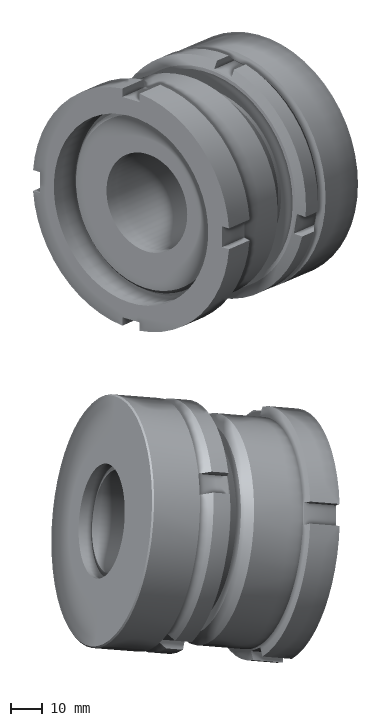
import cadquery as cq
import math

OUTER_RADIUS = 40.0
BORE_RADIUS = 16.4

SLOT_COUNT = 4
SLOT_WIDTH = 7.0
SLOT_DEPTH = 3.0
RIM_CHAMFER_LENGTH = 1.0

FLANGE_LENGTH = 11.1
BARREL_RADIUS = 36.5
SLEEVE_LENGTH = 31.05
BARREL_CHAMFER = 3.1
COUNTERBORE_RADIUS = 31.4
COUNTERBORE_DEPTH = 11.25

THREAD_RADIUS = 29.9
THREAD_START = 7.8
THREAD_START_CHAMFER = 1.1
THREAD_END = 34.6
NECK_RADIUS = 28.4
THREAD_END_CHAMFER = THREAD_RADIUS - NECK_RADIUS
HEAD_START = 36.7
HEAD_LENGTH = 10.3
HEAD_END = HEAD_START + HEAD_LENGTH
HEAD_BACK_LENGTH = 3.5
HEAD_BACK_DROP = 2.9
RECESS_RADIUS = 35.4
RECESS_DEPTH = 2.0
NECK_ROOT_CHAMFER = 0.65
HEAD_SLOT_ANGLE = 10.6

SEAT_RADIUS = 52.3
SEAT_RIM_RADIUS = OUTER_RADIUS - HEAD_BACK_DROP
SEAT_CENTER_Y = HEAD_END - math.sqrt(SEAT_RADIUS**2 - SEAT_RIM_RADIUS**2)

DISC_RADIUS = 39.9
DISC_START = 46.8
DISC_LENGTH = 16.7
DISC_FRONT_TAPER = 0.6
DISC_BACK_CHAMFER = 0.5
DISC_BORE_RADIUS = 18.1
DISC_TILT = 0.7


def revolve_about_y(profile):
    """Turn a closed (radius, y) profile into a full solid of revolution."""
    return profile.close().revolve(360, (0, 0, 0), (0, 1, 0))


def seat_y(radius):
    """Height of the spherical seat at a distance from its axis."""
    return SEAT_CENTER_Y + math.sqrt(SEAT_RADIUS**2 - radius**2)


def cut_slots(body, start, length, angle):
    """Cut equally spaced axial slots into the outer rim of a body."""
    slot = cq.Workplane("XY").box(SLOT_WIDTH, length, 2 * SLOT_DEPTH, centered=(True, False, True))
    slot = slot.translate((0, start, OUTER_RADIUS))
    for index in range(SLOT_COUNT):
        turn = angle + index * 360 / SLOT_COUNT
        body = body.cut(slot.rotate((0, 0, 0), (0, 1, 0), turn))
    return body


def make_sleeve():
    """Slotted flange and barrel with a stepped bore for the screw."""
    profile = cq.Workplane("XY").polyline([
        (COUNTERBORE_RADIUS, 0),
        (OUTER_RADIUS, 0),
        (OUTER_RADIUS, FLANGE_LENGTH - RIM_CHAMFER_LENGTH),
        (BARREL_RADIUS, FLANGE_LENGTH),
        (BARREL_RADIUS, SLEEVE_LENGTH - BARREL_CHAMFER),
        (BARREL_RADIUS - BARREL_CHAMFER, SLEEVE_LENGTH),
        (THREAD_RADIUS, SLEEVE_LENGTH),
        (THREAD_RADIUS, COUNTERBORE_DEPTH),
        (COUNTERBORE_RADIUS, COUNTERBORE_DEPTH),
    ])
    return cut_slots(revolve_about_y(profile), 0, FLANGE_LENGTH, 0)


def make_screw():
    """Hollow threaded stem with a recessed, slotted head and a domed back."""
    dome_middle_radius = (SEAT_RIM_RADIUS + BORE_RADIUS) / 2
    profile = cq.Workplane("XY").polyline([
        (BORE_RADIUS, THREAD_START),
        (THREAD_RADIUS - THREAD_START_CHAMFER, THREAD_START),
        (THREAD_RADIUS, THREAD_START + THREAD_START_CHAMFER),
        (THREAD_RADIUS, THREAD_END - THREAD_END_CHAMFER),
        (NECK_RADIUS, THREAD_END),
        (NECK_RADIUS, HEAD_START + RECESS_DEPTH - NECK_ROOT_CHAMFER),
        (NECK_RADIUS + NECK_ROOT_CHAMFER, HEAD_START + RECESS_DEPTH),
        (RECESS_RADIUS, HEAD_START + RECESS_DEPTH),
        (RECESS_RADIUS, HEAD_START),
        (BARREL_RADIUS, HEAD_START),
        (OUTER_RADIUS, HEAD_START + RIM_CHAMFER_LENGTH),
        (OUTER_RADIUS, HEAD_END - HEAD_BACK_LENGTH),
        (SEAT_RIM_RADIUS, HEAD_END),
    ]).threePointArc(
        (dome_middle_radius, seat_y(dome_middle_radius)),
        (BORE_RADIUS, seat_y(BORE_RADIUS)),
    )
    return cut_slots(revolve_about_y(profile), HEAD_START, HEAD_LENGTH, HEAD_SLOT_ANGLE)


def make_disc():
    """Disc tapering at the front to a hollow spherical seat, swivelled on the screw's dome."""
    disc_end = DISC_START + DISC_LENGTH
    opening_radius = math.sqrt(SEAT_RADIUS**2 - (DISC_START - SEAT_CENTER_Y)**2)
    seat_middle_radius = (opening_radius + DISC_BORE_RADIUS) / 2
    profile = cq.Workplane("XY").polyline([
        (DISC_BORE_RADIUS, seat_y(DISC_BORE_RADIUS)),
        (DISC_BORE_RADIUS, disc_end),
        (DISC_RADIUS - DISC_BACK_CHAMFER, disc_end),
        (DISC_RADIUS, disc_end - DISC_BACK_CHAMFER),
        (DISC_RADIUS, DISC_START + DISC_FRONT_TAPER),
        (opening_radius, DISC_START),
    ]).threePointArc(
        (seat_middle_radius, seat_y(seat_middle_radius)),
        (DISC_BORE_RADIUS, seat_y(DISC_BORE_RADIUS)),
    )
    pivot = (0, SEAT_CENTER_Y, 0)
    return revolve_about_y(profile).rotate(pivot, (0, SEAT_CENTER_Y, 1), -DISC_TILT)


sleeve = make_sleeve()
screw = make_screw()
disc = make_disc()

result = cq.Compound.makeCompound([sleeve.val(), screw.val(), disc.val()])